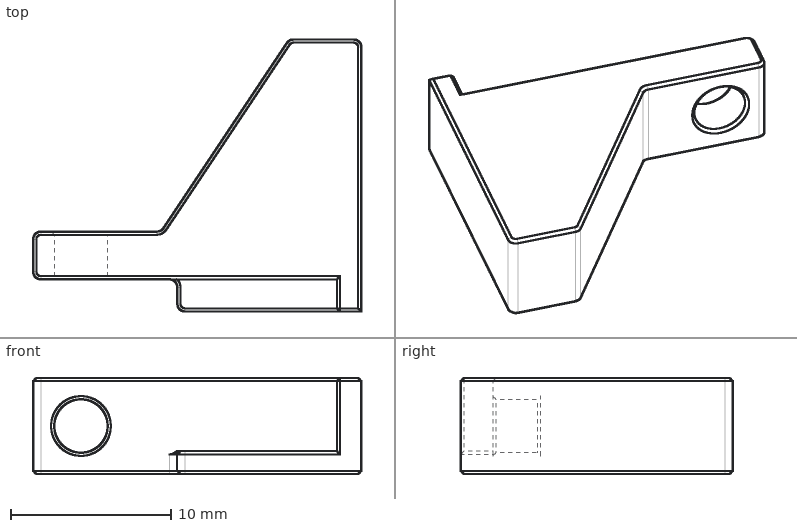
import cadquery as cq

length = 20.5
depth = 17.0
height = 6.0

arm_front = 2.0
arm_thickness = 3.0
arm_back = arm_front + arm_thickness
slope_start_x = 8.0
slope_end_x = 16.0

ledge_start_x = 9.0
ledge_height = 1.44
end_wall_thickness = 1.54
end_wall_x = length - end_wall_thickness

hole_diameter = 3.32
hole_x = 3.0
hole_z = height / 2

corner_radius = 0.5
edge_chamfer = 0.2


def rounded_plate(outline, rounded_corners, bottom, top):
    """Upright plate with the given outline, rounded at the listed corners."""
    plate = cq.Workplane("XY").workplane(offset=bottom).polyline(outline).close().extrude(top - bottom)
    for x, y in rounded_corners:
        corner = cq.selectors.NearestToPointSelector((x, y, (bottom + top) / 2))
        plate = plate.edges("|Z").edges(corner).fillet(corner_radius)
    return plate


back_rounded = [
    (length, depth),
    (slope_end_x, depth),
    (slope_start_x, arm_back),
    (0, arm_back),
    (0, arm_front),
]


def lower_plate():
    """Full outline up to the ledge top, with both rims chamfered."""
    ledge_corners = [(ledge_start_x, arm_front), (ledge_start_x, 0)]
    rounded_corners = back_rounded + ledge_corners
    outline = rounded_corners + [(length, 0)]
    plate = rounded_plate(outline, rounded_corners, 0, ledge_height)
    return plate.faces("<Z or >Z").edges().chamfer(edge_chamfer)


def upper_plate():
    """Arm, web and end wall, starting just above the bottom chamfer and chamfered at the top."""
    outline = back_rounded + [(end_wall_x, arm_front), (end_wall_x, 0), (length, 0)]
    plate = rounded_plate(outline, back_rounded, edge_chamfer, height)
    wall_edge = cq.selectors.NearestToPointSelector((end_wall_x, 0, height / 2))
    wall_edges = plate.edges("|Z").edges(wall_edge)
    return plate.faces(">Z").edges().add(wall_edges).chamfer(edge_chamfer)


def cross_hole():
    """Cutter for the hole along Y, with a chamfered rim at both ends."""
    radius = hole_diameter / 2
    rim_radius = radius + edge_chamfer
    profile = [
        (0, arm_front),
        (rim_radius, arm_front),
        (radius, arm_front + edge_chamfer),
        (radius, arm_back - edge_chamfer),
        (rim_radius, arm_back),
        (0, arm_back),
    ]
    cutter = cq.Workplane("XY").polyline(profile).close().revolve(360, (0, 0, 0), (0, 1, 0))
    return cutter.translate((hole_x, 0, hole_z))


result = lower_plate().union(upper_plate()).cut(cross_hole())